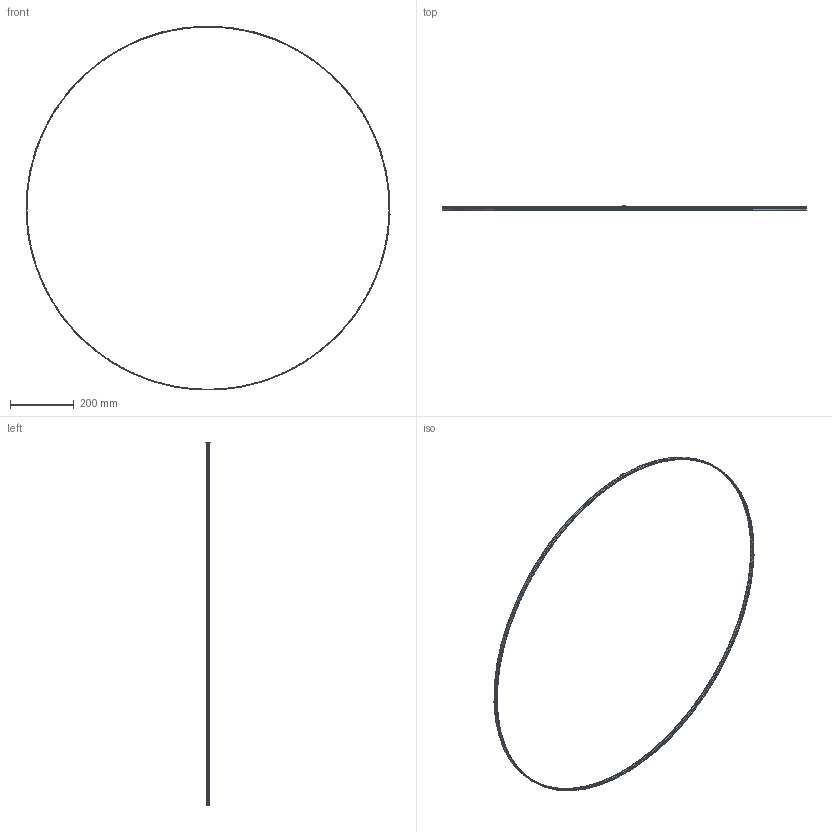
import cadquery as cq
import math

OUTER_DIAMETER = 1146.12
BELT_WIDTH = 12.0
BACKING_THICKNESS = 1.7
TOOTH_HEIGHT = 2.1
TOOTH_COUNT = 720
TOOTH_SHARE = 0.6

CLIP_LENGTH = 12.0
CLIP_WIDTH = 18.63
CLIP_THICKNESS = 1.0

OUTER_RADIUS = OUTER_DIAMETER / 2
ROOT_RADIUS = OUTER_RADIUS - BACKING_THICKNESS
CREST_RADIUS = ROOT_RADIUS - TOOTH_HEIGHT
PITCH_ANGLE = 2 * math.pi / TOOTH_COUNT
HALF_TOOTH_ANGLE = PITCH_ANGLE * TOOTH_SHARE / 2


def ring_point(radius, angle):
    """Point in the XZ plane, with the angle measured from +Z toward +X."""
    return cq.Vector(radius * math.sin(angle), 0, radius * math.cos(angle))


def arc(start, middle, end):
    """Arc through three (radius, angle) pairs."""
    return cq.Edge.makeThreePointArc(ring_point(*start), ring_point(*middle), ring_point(*end))


def toothed_outline():
    """Closed inner outline: a rounded tooth and a root land in every pitch."""
    edges = []
    for index in range(TOOTH_COUNT):
        center = index * PITCH_ANGLE
        tooth_start = center - HALF_TOOTH_ANGLE
        tooth_end = center + HALF_TOOTH_ANGLE
        land_middle = center + PITCH_ANGLE / 2
        land_end = center + PITCH_ANGLE - HALF_TOOTH_ANGLE
        edges.append(arc((ROOT_RADIUS, tooth_start), (CREST_RADIUS, center), (ROOT_RADIUS, tooth_end)))
        edges.append(arc((ROOT_RADIUS, tooth_end), (ROOT_RADIUS, land_middle), (ROOT_RADIUS, land_end)))
    return cq.Wire.assembleEdges(edges)


def belt():
    """Smooth outer surface with teeth on the inside, centred on Y = 0."""
    outer_edge = cq.Edge.makeCircle(OUTER_RADIUS, cq.Vector(0, 0, 0), cq.Vector(0, 1, 0))
    outer_outline = cq.Wire.assembleEdges([outer_edge])
    body = cq.Solid.extrudeLinear(outer_outline, [toothed_outline()], cq.Vector(0, BELT_WIDTH, 0))
    return cq.Workplane("XY").add(body.moved(cq.Location(cq.Vector(0, -BELT_WIDTH / 2, 0))))


def clip():
    """Curved plate flush with the belt's outer surface, reaching past both of its sides."""
    shell = cq.Workplane("XZ").circle(OUTER_RADIUS).circle(OUTER_RADIUS - CLIP_THICKNESS)
    shell = shell.extrude(CLIP_WIDTH / 2, both=True)
    top_block = cq.Workplane("XY").box(CLIP_LENGTH, CLIP_WIDTH, OUTER_RADIUS)
    return shell.intersect(top_block.translate((0, 0, OUTER_RADIUS)))


result = belt().union(clip(), clean=False)